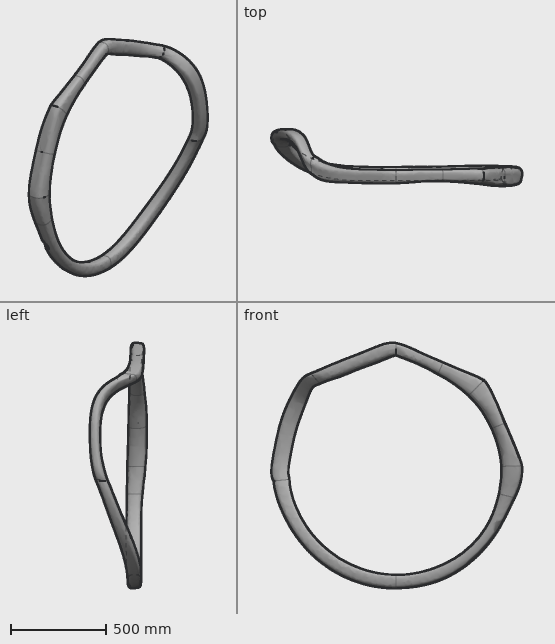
import cadquery as cq
import math


BOTTOM = (-90, 560.0, 632.0, -32.0, 41.0, 0)
APEX = (90, 593.0, 657.0, -48.0, 25.0, 0)

STRETCHES = [
    [
        (-75, 561.0, 632.0, -32.0, 42.0, 0),
        (-60, 564.0, 631.0, -32.0, 45.0, 0),
        (-46, 566.0, 627.0, -32.0, 48.0, 0),
        (-33, 565.0, 625.0, -32.0, 48.0, 0),
        (-22, 560.0, 630.0, -33.0, 46.0, 0),
        (-14, 557.0, 643.0, -38.0, 45.0, 0),
    ],
    [
        (-9, 555.0, 655.0, -44.0, 45.0, -0.1),
        (-4, 555.0, 663.0, -50.0, 44.0, -0.1),
        (1, 553.0, 663.0, -54.0, 44.0, 0),
    ],
    [
        (6, 550.0, 648.0, -58.0, 41.0, 0.3),
        (11, 548.0, 634.0, -58.0, 40.0, 0.6),
        (16.5, 545.0, 623.0, -58.0, 38.0, 0.7),
        (22.5, 544.0, 619.0, -58.0, 37.0, 0.7),
    ],
    [
        (28.5, 541.0, 623.0, -57.0, 35.0, 0.7),
        (34, 541.0, 632.0, -55.0, 34.0, 0.5),
        (39.5, 540.0, 645.0, -51.0, 33.0, 0.1),
        (45, 539.0, 655.0, -48.0, 32.0, -0.1),
    ],
    [
        (50.5, 537.0, 636.0, -44.0, 30.0, -0.1),
        (56, 537.0, 620.0, -40.0, 29.0, 0),
        (61, 539.0, 612.0, -37.0, 28.0, 0.1),
        (66, 540.0, 608.0, -35.0, 28.0, 0.1),
    ],
    [
        (71, 546.0, 610.0, -35.0, 28.0, 0.2),
        (76, 555.0, 616.0, -37.0, 28.0, 0.2),
        (81, 565.0, 630.0, -41.0, 26.0, 0.1),
        (86, 578.0, 645.0, -45.0, 25.0, 0),
        APEX,
    ],
    [
        (94, 581.0, 659.0, -48.0, 25.0, 0.2),
        (102, 561.0, 640.0, -46.0, 26.0, 0.4),
        (112.5, 556.0, 631.0, -44.0, 30.0, 0.4),
        (120, 561.0, 638.0, -41.0, 40.0, 0.3),
        (126, 575.0, 648.0, -35.0, 57.0, 0.1),
        (132, 597.0, 668.0, -7.0, 92.0, 0),
    ],
    [
        (138, 605.0, 680.0, 78.0, 153.0, -0.1),
        (144, 585.0, 670.0, 145.0, 207.0, -0.2),
        (152, 569.0, 660.0, 175.0, 234.0, -0.3),
        (163, 558.0, 650.0, 183.0, 240.0, -0.3),
        (174, 558.0, 650.0, 177.0, 235.0, -0.3),
        (186, 562.0, 648.0, 145.0, 209.0, -0.3),
    ],
    [
        (198, 564.0, 643.0, 96.0, 161.0, -0.3),
        (210, 561.0, 636.0, 50.0, 119.0, -0.2),
        (222, 560.0, 634.0, 9.0, 82.0, -0.1),
        (236, 558.0, 632.0, -21.0, 54.0, 0),
        (252, 558.0, 632.0, -32.0, 42.0, 0),
        BOTTOM,
    ],
]


def section_plane(angle, radius, y):
    """Plane across the ring, with local X radial and local Y along global Y."""
    turn = math.radians(angle)
    outward = (math.cos(turn), 0, math.sin(turn))
    along = (-math.sin(turn), 0, math.cos(turn))
    center = (radius * outward[0], y, radius * outward[2])
    return cq.Plane(origin=center, xDir=outward, normal=along)


def oval_section(angle, inner, outer, front, back, crest):
    """Closed oval whose extents are the given radii and Y limits, leaning to its crest."""
    plane = section_plane(angle, (inner + outer) / 2, (front + back) / 2)
    half_width = (outer - inner) / 2
    half_depth = (back - front) / 2
    bulge = 0.78
    directions = [(1, 0), (bulge, bulge), (0, 1), (-bulge, bulge),
                  (-1, 0), (-bulge, -bulge), (0, -1), (bulge, -bulge)]
    points = []
    for u, v in directions:
        lean = crest * (1 - u**2) * max(0, -v)
        points.append((half_width * (u + lean), half_depth * v))
    return cq.Workplane(plane).spline(points, periodic=True).wire().val()


def ring_segment(stations):
    """Smooth solid through the sections of one stretch of the ring."""
    sections = [oval_section(*station) for station in stations]
    return cq.Solid.makeLoft(sections)


segments = []
joint = BOTTOM
for stretch in STRETCHES:
    segments.append(ring_segment([joint] + stretch))
    joint = stretch[-1]
result = cq.Workplane(segments[0].fuse(*segments[1:]))